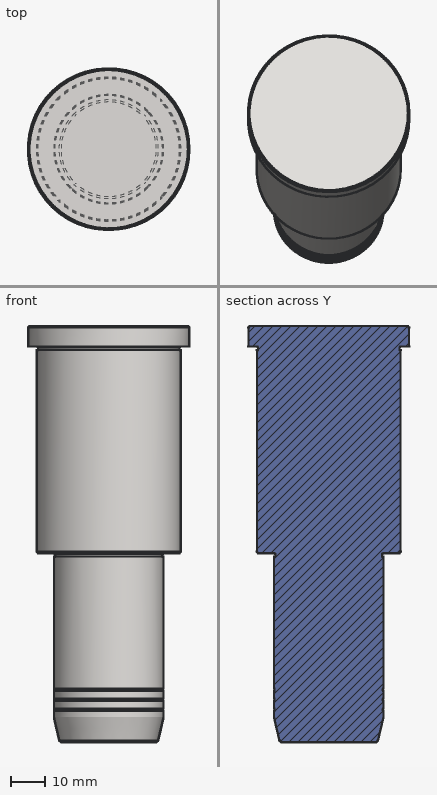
import cadquery as cq

total_length = 121.0
head_diameter = 47.0
head_height = 6.0
body_diameter = 42.0
body_length = 60.0
shank_diameter = 32.0
edge_chamfer = 0.5

relief_height = 1.0
relief_depth = 0.4
relief_corner = 0.2

groove_count = 3
groove_width = 0.8
groove_depth = 0.2
groove_pitch = 2.9
first_groove_bottom = 9.1

tip_height = 7.3
tip_diameter = 28.8
tip_chamfer = 0.6

head_bottom = total_length - head_height
body_bottom = head_bottom - body_length


def cylinder(diameter, bottom, top):
    """Upright cylinder on the Z axis."""
    return cq.Workplane("XY").workplane(offset=bottom).circle(diameter / 2).extrude(top - bottom)


def revolve_profile(points):
    """Solid of revolution about Z from a closed list of (radius, height) points."""
    return cq.Workplane("XZ").polyline(points).close().revolve(360, (0, 0, 0), (0, 1, 0))


def relief_cut(diameter, shoulder):
    """Undercut just below a shoulder, with a small bevel left in its upper corner."""
    outer = diameter / 2
    inner = outer - relief_depth
    return revolve_profile([
        (outer, shoulder - relief_height),
        (inner, shoulder - relief_height),
        (inner, shoulder - relief_corner),
        (inner + relief_corner, shoulder),
        (outer, shoulder),
    ])


def oil_groove_cut(bottom):
    """V-shaped ring that cuts one oil groove into the shank."""
    radius = shank_diameter / 2
    return revolve_profile([
        (radius, bottom),
        (radius - groove_depth, bottom + groove_width / 2),
        (radius, bottom + groove_width),
    ])


def make_head():
    return cylinder(head_diameter, head_bottom, total_length).faces(">Z").edges().chamfer(edge_chamfer)


def make_body():
    body = cylinder(body_diameter, body_bottom, head_bottom).faces("<Z").edges().chamfer(edge_chamfer)
    return body.cut(relief_cut(body_diameter, head_bottom))


def make_shank():
    """Shank with its relief and oil grooves, above the lead-in."""
    shank = cylinder(shank_diameter, tip_height, body_bottom)
    shank = shank.cut(relief_cut(shank_diameter, body_bottom))
    for index in range(groove_count):
        shank = shank.cut(oil_groove_cut(first_groove_bottom + index * groove_pitch))
    return shank


def make_tip():
    """Lead-in with a conical flank and a chamfered end, revolved about Z."""
    shank_radius = shank_diameter / 2
    tip_radius = tip_diameter / 2
    return revolve_profile([
        (0, 0),
        (tip_radius - tip_chamfer, 0),
        (tip_radius, tip_chamfer),
        (shank_radius, tip_height),
        (0, tip_height),
    ])


result = make_head().union(make_body()).union(make_shank()).union(make_tip())